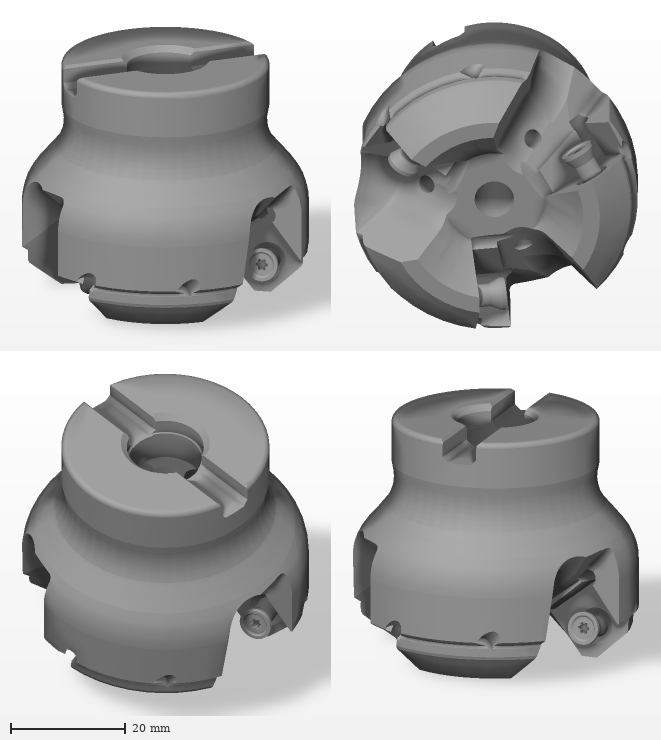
import cadquery as cq
import math

body_height = 42.7
tooth_count = 3
tooth_pitch = 360 / tooth_count

shank_radius = 18.25
shank_edge_fillet = 1.0
shank_low_z = 34.6
shank_blend_low_z = 33.8
shank_blend_radius = 18.1
neck_radius = 17.87
neck_z = 31.0
cone_top_radius = 19.3
cone_top_z = 27.1
shoulder_radius = 10.0
shoulder_end_z = 16.54
body_radius = 25.17
cone_angle = 40.5
step_top_z = 8.35
step_radius = 24.15
relief_radius = 24.0
relief_z = 7.5
band_top_z = 7.0
band_low_z = 5.5
nose_radius = 23.9
nose_z = 4.9
face_radius = 18.5

bore_radius = 6.35
bore_floor_z = 33.0
bore_floor_chamfer = 0.3
bore_step_radius = 6.75
bore_step_z = 39.0
bore_mouth_chamfer = 1.05
bolt_hole_radius = 3.45
bolt_hole_chamfer = 0.75
face_recess_mouth_radius = 15.6
face_recess_floor_radius = 8.9
face_recess_depth = 7.85
slot_width = 6.28
slot_depth = 4.0
slot_top_chamfer = 0.5
slot_floor_chamfer = 0.95

upper_channel_direction = cq.Vector(0.22, 0.71, -0.67).normalized()
upper_arc_radius = 6.2
upper_arc_centre = (5.75, -6.0)
upper_wall_angle = 24.0
upper_crease = 8.2
upper_roof_end = (22.0, 2.5)
lower_channel_direction = cq.Vector(-0.05, 0.79, -0.62).normalized()
lower_arc_radius = 6.2
lower_arc_centre = (-0.6, -4.05)
lower_wall_angle = 25.0
lower_crease = 0.4
lower_roof_end = (22.0, 2.15)
channel_depth = 40.0
channel_outer_end = 40.0
channel_inner_end = 6.5

tooth_edge = (8.6, -23.7)
tooth_lean = 18.0
tooth_corner_fillet = 1.2
tooth_corner = (7.3, -20.3, 19.8)

screw_point = cq.Vector(6.27, -16.5, 6.4)
screw_axis = cq.Vector(0.89, 0.42, -0.16).normalized()
insert_width = 13.2
insert_thickness = 5.3
pocket_front = 3.0
pocket_opening = 8.0
insert_turn = 38.7
corner_relief_radius = 1.6
seat_sink_radius = 3.2
seat_sink_depth = 0.9

screw_head_radius = 2.9
screw_head_rim = 0.7
screw_head_height = 2.6
screw_shank_radius = 2.0
screw_length = 11.0
head_dish_radius = 2.0
head_dish_depth = 0.3
socket_core_radius = 0.8
socket_lobe_radius = 0.3
socket_lobe_count = 6
socket_depth = 1.6

coolant_radius = 1.6
coolant_outlet = cq.Vector(0.4, -12.2, 11.2)
coolant_start_radius = 5.2
coolant_start_angle = 216.5
dimple_radius = 1.65
dimple_angles = (227.3, 304.6)
dimple_z = 8.2
dimple_depth = 1.2
dimple_heading = -137.0
dimple_tilt = 35.0

overcut = 30.0


def around(shape):
    """The three copies of a shape made for the tooth on the -Y side."""
    return [shape.rotate((0, 0, 0), (0, 0, 1), tooth_pitch * i) for i in range(tooth_count)]


def polar(radius, angle, z):
    turn = math.radians(angle)
    return cq.Vector(radius * math.cos(turn), radius * math.sin(turn), z)


def cylinder(radius, length, start, direction):
    return cq.Workplane(cq.Solid.makeCylinder(radius, length, start, direction))


def turned_blank():
    half = math.radians(cone_angle / 2)
    full = math.radians(cone_angle)
    shoulder_centre = body_radius - shoulder_radius
    shoulder_top = (
        shoulder_centre + shoulder_radius * math.cos(full),
        shoulder_end_z + shoulder_radius * math.sin(full),
    )
    shoulder_mid = (
        shoulder_centre + shoulder_radius * math.cos(half),
        shoulder_end_z + shoulder_radius * math.sin(half),
    )
    top_flat = shank_radius - shank_edge_fillet
    return (
        cq.Workplane("XZ")
        .moveTo(0, 0)
        .lineTo(face_radius, 0)
        .lineTo(nose_radius, nose_z)
        .lineTo(step_radius, band_low_z)
        .lineTo(step_radius, band_top_z)
        .lineTo(relief_radius, relief_z)
        .lineTo(body_radius, step_top_z)
        .lineTo(body_radius, shoulder_end_z)
        .threePointArc(shoulder_mid, shoulder_top)
        .lineTo(cone_top_radius, cone_top_z)
        .threePointArc((neck_radius, neck_z), (shank_blend_radius, shank_blend_low_z))
        .lineTo(shank_radius, shank_low_z)
        .lineTo(shank_radius, body_height - shank_edge_fillet)
        .radiusArc((top_flat, body_height), -shank_edge_fillet)
        .lineTo(0, body_height)
        .close()
        .revolve(360, (0, 0, 0), (0, 1, 0))
    )


def centre_bore():
    return (
        cq.Workplane("XZ")
        .moveTo(0, 0)
        .lineTo(face_recess_mouth_radius, 0)
        .lineTo(face_recess_floor_radius, face_recess_depth)
        .lineTo(bolt_hole_radius, face_recess_depth)
        .lineTo(bolt_hole_radius, bore_floor_z - bolt_hole_chamfer)
        .lineTo(bolt_hole_radius + bolt_hole_chamfer, bore_floor_z)
        .lineTo(bore_radius - bore_floor_chamfer, bore_floor_z)
        .lineTo(bore_radius, bore_floor_z + bore_floor_chamfer)
        .lineTo(bore_radius, bore_step_z)
        .lineTo(bore_step_radius, bore_step_z)
        .lineTo(bore_step_radius, body_height - bore_mouth_chamfer)
        .lineTo(bore_step_radius + bore_mouth_chamfer, body_height)
        .lineTo(0, body_height)
        .close()
        .revolve(360, (0, 0, 0), (0, 1, 0))
    )


def drive_slot():
    half = slot_width / 2
    floor_z = body_height - slot_depth
    return (
        cq.Workplane("XZ")
        .moveTo(half - slot_floor_chamfer, floor_z)
        .lineTo(half, floor_z + slot_floor_chamfer)
        .lineTo(half, body_height - slot_top_chamfer)
        .lineTo(half + slot_top_chamfer, body_height)
        .lineTo(-half - slot_top_chamfer, body_height)
        .lineTo(-half, body_height - slot_top_chamfer)
        .lineTo(-half, floor_z + slot_floor_chamfer)
        .lineTo(-half + slot_floor_chamfer, floor_z)
        .close()
        .extrude(body_radius, both=True)
    )


def channel(direction, radius, centre, wall_angle, crease, roof_end):
    """Straight channel along `direction`: a leaning wall, a round back and a flat roof."""
    across = (cq.Vector(1, 0, 0) - direction * direction.x).normalized()
    section = cq.Plane(origin=direction * channel_inner_end, xDir=across, normal=direction * -1)
    wall = math.radians(wall_angle)
    arc_start = (centre[0] - radius * math.cos(wall), centre[1] + radius * math.sin(wall))
    arc_top = (centre[0], centre[1] + radius)
    arc_end = (crease, centre[1] + math.sqrt(radius**2 - (crease - centre[0]) ** 2))
    wall_end = (
        arc_start[0] - channel_depth * math.sin(wall),
        arc_start[1] - channel_depth * math.cos(wall),
    )
    return (
        cq.Workplane(section)
        .moveTo(*wall_end)
        .lineTo(*arc_start)
        .threePointArc(arc_top, arc_end)
        .lineTo(*roof_end)
        .lineTo(roof_end[0], wall_end[1])
        .close()
        .extrude(channel_inner_end + channel_outer_end)
    )


def flute():
    """Two channels that end at the tooth face, with a rounded corner below the roof."""
    tooth_side = (
        cq.Workplane("XY")
        .box(2 * overcut, 3 * overcut, 3 * overcut)
        .translate((-overcut, 0, 0))
        .rotate((0, 0, 0), (0, 0, 1), tooth_lean)
        .translate((tooth_edge[0], tooth_edge[1], 0))
    )
    upper = channel(
        upper_channel_direction, upper_arc_radius, upper_arc_centre,
        upper_wall_angle, upper_crease, upper_roof_end,
    )
    lower = channel(
        lower_channel_direction, lower_arc_radius, lower_arc_centre,
        lower_wall_angle, lower_crease, lower_roof_end,
    )
    upper = (
        upper.intersect(tooth_side)
        .edges(cq.NearestToPointSelector(tooth_corner))
        .fillet(tooth_corner_fillet)
    )
    return [upper, lower.intersect(tooth_side)]


def insert_pocket():
    """Square seat for the insert, open on its lower outer side, with relieved upper corners."""
    seat_centre = screw_point + screw_axis * insert_thickness
    outward = screw_axis.cross(cq.Vector(0, 0, 1))
    seat = cq.Plane(origin=seat_centre, xDir=outward, normal=screw_axis * -1)
    depth = insert_thickness + pocket_front
    corner = insert_width / 2
    square = (
        cq.Workplane(seat)
        .transformed(rotate=(0, 0, insert_turn))
        .center(0, -pocket_opening / 2)
        .rect(insert_width, insert_width + pocket_opening)
        .extrude(depth)
    )
    relief = (
        cq.Workplane(seat)
        .transformed(rotate=(0, 0, insert_turn))
        .pushPoints([(corner, corner), (-corner, corner)])
        .circle(corner_relief_radius)
        .extrude(depth)
    )
    sink = cq.Workplane(
        cq.Solid.makeCone(seat_sink_radius, screw_shank_radius, seat_sink_depth, seat_centre, screw_axis)
    )
    return square.union(relief).union(sink)


def screw_hole():
    return cylinder(screw_shank_radius, screw_length, screw_point, screw_axis)


def screw():
    """Countersunk insert screw with a six-lobed socket."""
    outward = screw_axis.cross(cq.Vector(0, 0, 1))
    face = cq.Plane(origin=screw_point, xDir=outward, normal=screw_axis)
    blank = (
        cq.Workplane("XZ")
        .moveTo(0, head_dish_depth)
        .lineTo(head_dish_radius, head_dish_depth)
        .lineTo(head_dish_radius + head_dish_depth, 0)
        .lineTo(screw_head_radius, 0)
        .lineTo(screw_head_radius, screw_head_rim)
        .lineTo(screw_shank_radius, screw_head_height)
        .lineTo(screw_shank_radius, screw_length)
        .lineTo(0, screw_length)
        .close()
        .revolve(360, (0, 0, 0), (0, 1, 0))
    )
    socket = cq.Workplane("XY").circle(socket_core_radius).extrude(socket_depth)
    lobes = (
        cq.Workplane("XY")
        .polarArray(socket_core_radius, 0, 360, socket_lobe_count)
        .circle(socket_lobe_radius)
        .extrude(socket_depth)
    )
    local = blank.cut(socket).cut(lobes)
    return cq.Workplane(local.val().moved(cq.Location(face)))


def coolant_channel():
    """Straight hole from the bore floor to the flute."""
    start = polar(coolant_start_radius, coolant_start_angle, bore_floor_z)
    run = coolant_outlet - start
    direction = run.normalized()
    length = run.Length + 2 * coolant_radius
    return cylinder(coolant_radius, length, start - direction * coolant_radius, direction)


def dimple(angle):
    """Flat-floored hole drilled downward from the outside, aslant to the radius."""
    tilt = math.radians(dimple_tilt)
    centre = polar(body_radius, angle, dimple_z)
    inward = polar(math.cos(tilt), angle + dimple_heading, -math.sin(tilt))
    return cylinder(dimple_radius, overcut / 2, centre + inward * dimple_depth, inward * -1)


body = turned_blank().cut(centre_bore()).cut(drive_slot())
tooth_cuts = [*flute(), insert_pocket(), screw_hole(), coolant_channel()]
tooth_cuts += [dimple(angle) for angle in dimple_angles]
for cut in tooth_cuts:
    for copy in around(cut):
        body = body.cut(copy)

screws = around(screw())

result = cq.Compound.makeCompound([body.val(), *[s.val() for s in screws]])